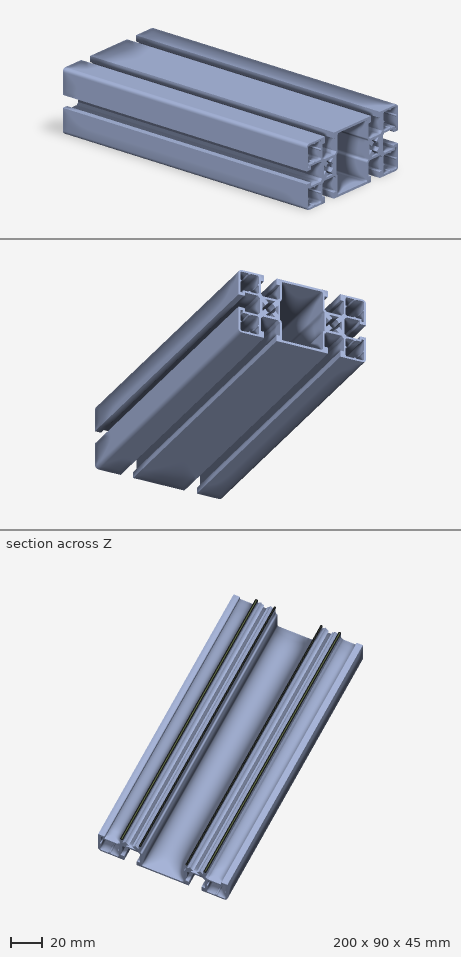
import cadquery as cq


length = 200
width = 90
height = 45.0

slot_pitch = height
slot_mouth = 8.8
lip_depth = 4.5
lip_chamfer = 0.3
slot_inside = 13.5
slot_depth = 15.2
slot_bottom_chamfer = 1.5

wall = 1.3
cell_corner_radius = 1.2
ridge_radius = 0.7
foot_width = 2
foot_floor_thickness = 2

channel_side = 11.5
prong_width = 3.2
screw_hole_radius = 3.5

plate_thickness = 1.5
chamber_width = 29.0
chamber_waist_width = 31.5
shoulder_middle = 7.2
shoulder_height = 2.5
chamber_corner_radius = 1.0

half_width = width / 2
half_height = height / 2
corner_radius = cell_corner_radius + wall
channel_y = slot_pitch / 2


def section():
    """Empty workplane of the cross-section, with local x along Y and local y along Z."""
    return cq.Workplane("YZ")


def both_sides(cutter, plane):
    """The cutter together with its mirror image."""
    return cutter.union(cutter.mirror(plane))


def t_slot(center_y, face_distance, angle):
    """T-slot open towards +Z, turned about the section point (center_y, 0) by angle."""
    mouth = slot_mouth / 2
    inside = slot_inside / 2
    lip = face_distance - lip_depth
    bottom = face_distance - slot_depth
    slot = (
        section()
        .polyline(
            [
                (-mouth, face_distance),
                (-mouth, lip + lip_chamfer),
                (-mouth - lip_chamfer, lip),
                (-inside, lip),
                (-inside, bottom + slot_bottom_chamfer),
                (-inside + slot_bottom_chamfer, bottom),
                (inside - slot_bottom_chamfer, bottom),
                (inside, bottom + slot_bottom_chamfer),
                (inside, lip),
                (mouth + lip_chamfer, lip),
                (mouth, lip + lip_chamfer),
                (mouth, face_distance),
            ]
        )
        .close()
        .extrude(length)
    )
    return slot.rotate((0, 0, 0), (1, 0, 0), angle).translate((0, center_y, 0))


def corner_cell():
    """Closed cell in the +Y +Z corner, with a foot behind the lip and a ridge on each wall."""
    outer_y = half_width - wall
    inner_y = channel_y + slot_inside / 2 + wall
    top_z = half_height - wall
    floor_z = slot_inside / 2 + wall
    middle_y = (outer_y + inner_y) / 2
    middle_z = (top_z + floor_z) / 2
    cell = (
        section()
        .center(middle_y, middle_z)
        .rect(outer_y - inner_y, top_z - floor_z)
        .extrude(length)
        .edges("|X")
        .fillet(cell_corner_radius)
    )
    foot_y = outer_y - foot_width
    foot_z = slot_mouth / 2 + foot_floor_thickness
    foot = (
        section()
        .moveTo(foot_y, foot_z)
        .lineTo(outer_y, foot_z)
        .lineTo(outer_y, middle_z)
        .lineTo(foot_y, middle_z)
        .close()
        .extrude(length)
    )
    ridges = (
        section()
        .pushPoints([(middle_y, top_z), (middle_y, floor_z), (outer_y, middle_z), (inner_y, middle_z)])
        .circle(ridge_radius)
        .extrude(length)
    )
    return cell.union(foot).cut(ridges)


def screw_channel():
    """Square channel at +Y, with a prong reaching in from each corner."""
    channel = section().rect(channel_side, channel_side).extrude(length)
    prong_length = channel_side
    for corner in range(4):
        prong = (
            section()
            .center(prong_length / 2, 0)
            .rect(prong_length, prong_width)
            .extrude(length)
            .rotate((0, 0, 0), (1, 0, 0), 45 + 90 * corner)
        )
        channel = channel.cut(prong)
    screw_hole = section().circle(screw_hole_radius).extrude(length)
    return channel.union(screw_hole).translate((0, channel_y, 0))


def central_chamber():
    """Tall chamber between the channels, widening through S-shaped shoulders at mid-height."""
    chamber = (
        section()
        .rect(chamber_width, height - 2 * plate_thickness)
        .extrude(length)
        .edges("|X")
        .fillet(chamber_corner_radius)
    )
    wall_y = chamber_width / 2
    waist_y = chamber_waist_width / 2
    middle_y = (wall_y + waist_y) / 2
    low_z = shoulder_middle - shoulder_height / 2
    high_z = shoulder_middle + shoulder_height / 2
    quarter_waist = (
        section()
        .lineTo(waist_y, 0)
        .lineTo(waist_y, low_z)
        .tangentArcPoint((middle_y, shoulder_middle), relative=False)
        .tangentArcPoint((wall_y, high_z), relative=False)
        .lineTo(0, high_z)
        .close()
        .extrude(length)
    )
    waist = both_sides(both_sides(quarter_waist, "XY"), "XZ")
    return chamber.union(waist)


body = section().rect(width, height).extrude(length).edges("|X").fillet(corner_radius)

side_slots = both_sides(t_slot(channel_y, half_height, 0), "XY")
end_slot = t_slot(0, half_width, -90)
cells = both_sides(corner_cell(), "XY")

for cutter in (side_slots, end_slot, cells, screw_channel()):
    body = body.cut(both_sides(cutter, "XZ"))

result = body.cut(central_chamber()).translate((-length / 2, 0, 0))